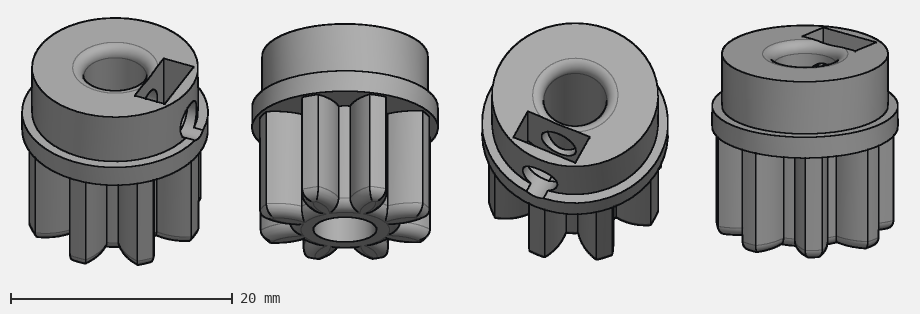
import cadquery as cq
import math

gear_height = 10.0
flange_thickness = 2.0
hub_height = 5.0
flange_top = gear_height + flange_thickness
total_height = flange_top + hub_height

flange_diameter = 16.8
hub_diameter = 15.0
bore_diameter = 5.7
bore_mouth_radius = 1.0

tooth_count = 8
tip_radius = 8.0
tip_half_width = 0.78
belly_half_width = 1.475
belly_x = 5.49
root_radius = 5.0
tooth_inner_x = 3.8
gear_edge_radius = 1.0

screw_diameter = 3.45
screw_height = 13.5
nut_slot_inner_x = 3.4
nut_slot_thickness = 3.0
nut_across_flats = 6.2


def make_tooth():
    """One tooth along +X, its barrel-shaped flanks running inward into the gear core."""
    tip_x = math.sqrt(tip_radius**2 - tip_half_width**2)
    rise = tip_x - belly_x
    inset = belly_half_width - tip_half_width
    flank_radius = (rise**2 + inset**2) / (2 * inset)
    inner_drop = belly_x - tooth_inner_x
    inner_half_width = belly_half_width - flank_radius + math.sqrt(flank_radius**2 - inner_drop**2)
    tooth = (
        cq.Workplane("XY")
        .moveTo(tooth_inner_x, -inner_half_width)
        .threePointArc((belly_x, -belly_half_width), (tip_x, -tip_half_width))
        .threePointArc((tip_radius, 0), (tip_x, tip_half_width))
        .threePointArc((belly_x, belly_half_width), (tooth_inner_x, inner_half_width))
        .close()
        .extrude(gear_height)
    )
    flank_and_tip_edges = tooth.faces("<Z").edges("not <X")
    return flank_and_tip_edges.fillet(gear_edge_radius)


def make_gear():
    """Round core and teeth, each with a rounded bottom edge, so they meet in mitred corners."""
    gear = cq.Workplane("XY").circle(root_radius).extrude(gear_height)
    gear = gear.faces("<Z").edges().fillet(gear_edge_radius)
    tooth = make_tooth()
    for position in range(tooth_count):
        gear = gear.union(tooth.rotate((0, 0, 0), (0, 0, 1), position * 360 / tooth_count))
    return gear


def make_hub():
    """Flange on top of the gear with the smaller round hub above it."""
    flange = cq.Workplane("XY").workplane(offset=gear_height).circle(flange_diameter / 2)
    flange = flange.extrude(flange_thickness)
    hub = cq.Workplane("XY").workplane(offset=flange_top).circle(hub_diameter / 2)
    return flange.union(hub.extrude(hub_height))


def cut_bore(body):
    """Through bore with a rounded mouth at the top."""
    bore_radius = bore_diameter / 2
    mouth_bottom = total_height - bore_mouth_radius
    blend = bore_mouth_radius * (1 - math.sqrt(0.5))
    profile = (
        cq.Workplane("XZ")
        .lineTo(bore_radius, 0)
        .lineTo(bore_radius, mouth_bottom)
        .threePointArc(
            (bore_radius + blend, total_height - blend),
            (bore_radius + bore_mouth_radius, total_height),
        )
        .lineTo(0, total_height)
        .close()
    )
    return body.cut(profile.revolve(360, (0, 0, 0), (0, 1, 0)))


def cut_nut_slot(body):
    """Slot open at the top whose V bottom is the lower corner of the nut."""
    half_width = nut_across_flats / 2
    corner_radius = nut_across_flats / math.sqrt(3)
    side_bottom = screw_height - corner_radius / 2
    slot = (
        cq.Workplane("YZ")
        .workplane(offset=nut_slot_inner_x)
        .moveTo(-half_width, total_height)
        .lineTo(-half_width, side_bottom)
        .lineTo(0, screw_height - corner_radius)
        .lineTo(half_width, side_bottom)
        .lineTo(half_width, total_height)
        .close()
        .extrude(nut_slot_thickness)
    )
    return body.cut(slot)


def cut_screw_hole(body):
    """Radial hole from the bore out through the +X side."""
    hole = cq.Workplane("YZ").center(0, screw_height).circle(screw_diameter / 2)
    return body.cut(hole.extrude(flange_diameter / 2))


result = make_gear().union(make_hub())
result = cut_bore(result)
result = cut_nut_slot(result)
result = cut_screw_hole(result)